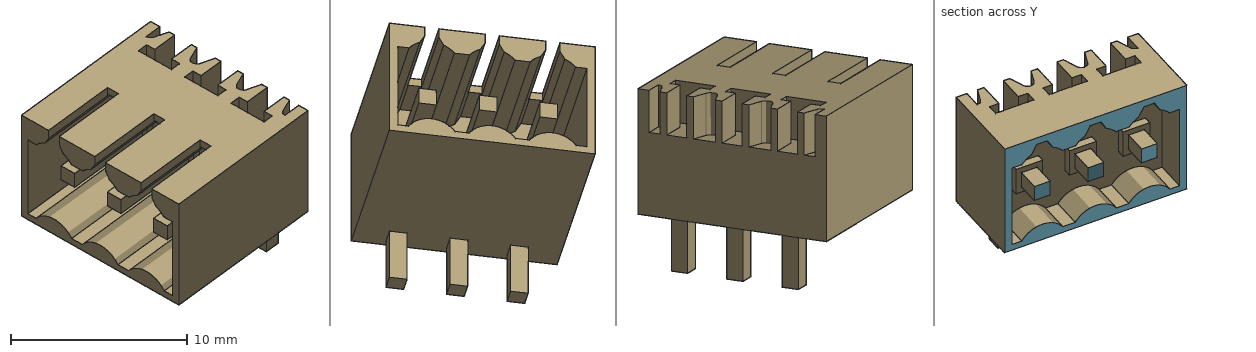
import cadquery as cq
import math

housing_width = 11.9
housing_depth = 11.05
housing_height = 7.45

pitch = 3.5
contact_count = 3
contact_positions = [(i - (contact_count - 1) / 2) * pitch for i in range(contact_count)]
pin_size = 1.02
pin_height = 3.51
pin_tip_setback = 1.2
pin_rear_gap = 0.35
pin_drop = 3.2

cavity_depth = 7.5
side_wall = 0.49
floor_thickness = 0.44
roof_thickness = 1.57
cavity_width = housing_width - 2 * side_wall
cavity_top = housing_height - roof_thickness

rib_half_width = 1.35
rib_rise = 0.69

groove_half_width = 1.31
groove_rise = 0.62
keyway_flank_angle = math.radians(60.0)
keyway_cover = 0.5
keyway_top_width = 0.69
keyway_top = housing_height - keyway_cover
keyway_flare = (keyway_top - cavity_top) / math.tan(keyway_flank_angle)
keyway_bottom_width = keyway_top_width + 2 * keyway_flare

roof_slot_width = 0.81
roof_slot_length = 5.06

collar_size = 1.75
collar_length = 0.5

recess_depth = 2.5
recess_bottom = housing_height - recess_depth

pocket_stem_width = 1.26
pocket_bar_width = 2.5
pocket_bar_front = 2.4
pocket_bar_rear = 1.7

notch_reach = 1.18
notch_radius = 0.38
notch_taper = math.radians(20.0)


def box(width, depth, height, x, y, z):
    """Box centred on x, starting at y and z."""
    return cq.Workplane("XY").box(width, depth, height, centered=(True, False, False)).translate((x, y, z))


def extrude_along_cavity(profile):
    """Extrude an XZ profile from the front face to the rear of the cavity."""
    return profile.extrude(-cavity_depth)


def arch(x, base_z, half_width, rise):
    """Arched bar along the cavity, with its flat base at base_z."""
    profile = (
        cq.Workplane("XZ")
        .moveTo(x - half_width, base_z)
        .threePointArc((x, base_z + rise), (x + half_width, base_z))
        .close()
    )
    return extrude_along_cavity(profile)


def keyway(x):
    """Trapezoid narrowing upward from the cavity roof."""
    profile = cq.Workplane("XZ").polyline([
        (x - keyway_bottom_width / 2, cavity_top),
        (x - keyway_top_width / 2, keyway_top),
        (x + keyway_top_width / 2, keyway_top),
        (x + keyway_bottom_width / 2, cavity_top),
    ]).close()
    return extrude_along_cavity(profile)


def cavity():
    """Plug space: a box with roof grooves and keyways, less ribs and collars."""
    space = box(cavity_width, cavity_depth, cavity_top - floor_thickness, 0, 0, floor_thickness)
    for x in contact_positions:
        space = space.union(arch(x, cavity_top, groove_half_width, groove_rise))
        space = space.union(keyway(x))
        space = space.cut(arch(x, floor_thickness, rib_half_width, rib_rise))
        space = space.cut(
            box(collar_size, collar_length, collar_size, x,
                cavity_depth - collar_length, pin_height - collar_size / 2)
        )
    return space


def roof_slot(x):
    return box(roof_slot_width, roof_slot_length, housing_height - cavity_top, x, 0, cavity_top)


def t_pocket(x):
    stem = box(pocket_stem_width, pocket_bar_rear, recess_depth,
               x, housing_depth - pocket_bar_rear, recess_bottom)
    bar = box(pocket_bar_width, pocket_bar_front - pocket_bar_rear, recess_depth,
              x, housing_depth - pocket_bar_front, recess_bottom)
    return stem.union(bar)


def rear_notch(x):
    """Blind notch whose straight flanks run tangent into a round end."""
    center_y = housing_depth - notch_reach + notch_radius
    tangent_x = notch_radius * math.cos(notch_taper)
    tangent_y = center_y - notch_radius * math.sin(notch_taper)
    mouth_x = tangent_x + (housing_depth - tangent_y) * math.tan(notch_taper)
    return (
        cq.Workplane("XY", origin=(0, 0, recess_bottom))
        .moveTo(x - mouth_x, housing_depth)
        .lineTo(x - tangent_x, tangent_y)
        .threePointArc((x, housing_depth - notch_reach), (x + tangent_x, tangent_y))
        .lineTo(x + mouth_x, housing_depth)
        .close()
        .extrude(recess_depth)
    )


def rear_notches():
    """Notches on both sides of every contact; the end ones keep only their inner half."""
    span = contact_count * pitch
    notches = cq.Workplane("XY")
    for i in range(contact_count + 1):
        notches = notches.add(rear_notch(i * pitch - span / 2))
    inner_zone = box(span, housing_depth, housing_height, 0, 0, 0)
    return inner_zone.intersect(notches.combine())


def make_pin(x):
    """L-shaped square pin: horizontal contact and downward solder leg."""
    rear_y = housing_depth - pin_rear_gap
    top_z = pin_height + pin_size / 2
    contact = box(pin_size, rear_y - pin_tip_setback, pin_size, x, pin_tip_setback, top_z - pin_size)
    leg = box(pin_size, pin_size, top_z + pin_drop, x, rear_y - pin_size, -pin_drop)
    return contact.union(leg)


def make_housing(pins):
    housing = box(housing_width, housing_depth, housing_height, 0, 0, 0)
    housing = housing.cut(cavity()).cut(rear_notches())
    for x in contact_positions:
        housing = housing.cut(roof_slot(x)).cut(t_pocket(x))
    for pin in pins:
        housing = housing.cut(pin)
    return housing


pins = [make_pin(x) for x in contact_positions]
housing = make_housing(pins)

result = cq.Compound.makeCompound([body.solids().val() for body in [housing, *pins]])